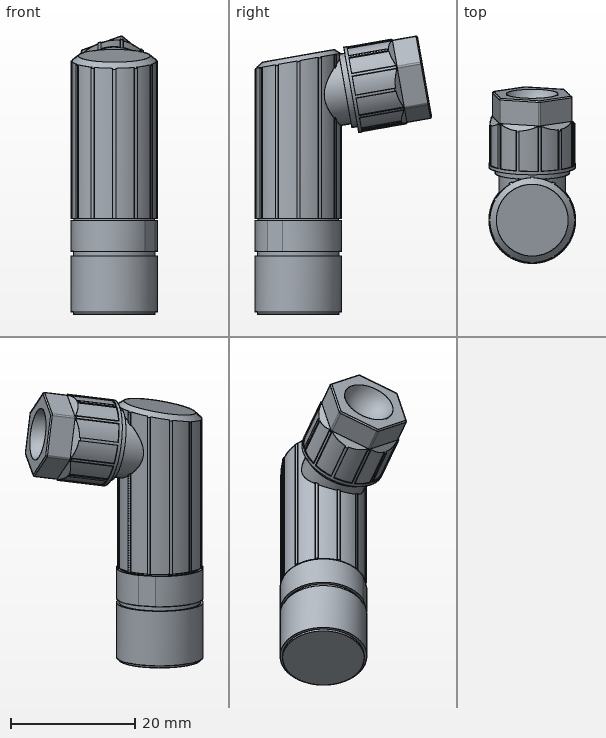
import cadquery as cq
import math

rib_radius = 7.0
grip_radius = 6.82
rib_width = 0.5
rib_count = 12
ring_radius = 7.0
foot_radius = 6.6
gap_radius = 6.5
foot_top = 0.4
collar_top = 9.45
neck_top = 10.15
ring_top = 15.18
grip_bottom = 15.45
flat_width = 2.9
flat_angle = -33.0

tilt = 10.0
top_height = 41.7
top_radius = 5.8
bevel_drop = 0.8

branch_height = 34.7
branch_radius = 5.4
washer_radius = 6.0
washer_start = 7.72
nut_start = 8.65
nut_panel_start = 9.2
hex_start = 16.6
nut_end = 20.7
nut_radius = 6.82
shoulder_taper = 45.0
hex_apothem = 5.95
hex_fillet = 0.35
hex_bevel = 0.22
nut_turn = 10.0
dish_radius = 4.18
dish_depth = 3.15


def cylinder(radius, start, end):
    return cq.Workplane("XY").workplane(offset=start).circle(radius).extrude(end - start)


def rib_set(start, end, turn):
    """Bars running along a surface all round, rounded off at the rib radius."""
    bars = (
        cq.Workplane("XY")
        .workplane(offset=start)
        .polarArray(rib_radius, turn, 360, rib_count)
        .rect(rib_radius, rib_width)
        .extrude(end - start)
    )
    return bars.intersect(cylinder(rib_radius, start, end))


def hexagon(apothem, start):
    """Outline of a hexagon with corners in line with every other rib of the nut."""
    return (
        cq.Workplane("XY")
        .workplane(offset=start)
        .transformed(rotate=(0, 0, nut_turn + 360 / rib_count))
        .polygon(6, 2 * apothem / math.cos(math.radians(30)))
    )


def tilted_ellipse(plan_radius, height):
    """Closed outline on a sloping plane whose plan is a circle about the body axis."""
    slope = math.radians(tilt)
    plane = cq.Plane((0, 0, height), (1, 0, 0), (0, -math.sin(slope), math.cos(slope)))
    return cq.Workplane(plane).ellipse(plan_radius, plan_radius / math.cos(slope)).val()


def make_grip():
    grip_end = top_height + rib_radius
    grip = cylinder(grip_radius, grip_bottom, grip_end)
    grip = grip.union(rib_set(grip_bottom, grip_end, 0))
    repeats = math.ceil(top_height / bevel_drop)
    base = tilted_ellipse(
        top_radius + repeats * (grip_radius - top_radius), top_height - repeats * bevel_drop
    )
    cone = cq.Solid.makeLoft([base, tilted_ellipse(top_radius, top_height)], True)
    return grip.intersect(cq.Workplane(cone))


def make_rings():
    rings = cylinder(foot_radius, 0, neck_top)
    rings = rings.union(cylinder(ring_radius, foot_top, collar_top))
    flat_distance = math.sqrt(ring_radius**2 - (flat_width / 2) ** 2)
    flats = (
        cq.Workplane("XY")
        .workplane(offset=neck_top)
        .rect(2 * flat_distance, 3 * ring_radius)
        .extrude(ring_top - neck_top)
        .rotate((0, 0, 0), (0, 0, 1), flat_angle)
    )
    rings = rings.union(cylinder(ring_radius, neck_top, ring_top).intersect(flats))
    return rings.union(cylinder(gap_radius, ring_top, grip_bottom))


def make_nut():
    sleeve = cylinder(nut_radius, nut_panel_start, hex_start)
    sleeve = sleeve.union(rib_set(nut_panel_start, hex_start, nut_turn))
    spread = (hex_start - nut_panel_start) * math.tan(math.radians(shoulder_taper))
    shoulder = hexagon(hex_apothem + spread, nut_panel_start).extrude(
        hex_start - nut_panel_start, taper=shoulder_taper
    )
    head = hexagon(hex_apothem, hex_start).extrude(nut_end - hex_start)
    head = head.edges("|Z").fillet(hex_fillet)
    head = head.faces(">Z").chamfer(hex_bevel)
    nut = sleeve.intersect(shoulder).union(head)
    nut = nut.union(cylinder(rib_radius, nut_start, nut_panel_start))
    nut = nut.union(cylinder(washer_radius, washer_start, nut_start))
    return nut.union(cylinder(branch_radius, 0, washer_start))


def place_on_branch(shape):
    return shape.rotate((0, 0, 0), (1, 0, 0), tilt - 90).translate((0, 0, branch_height))


def make_dish():
    """Spherical hollow whose rim lies on the end face of the nut."""
    sphere_radius = (dish_radius**2 + dish_depth**2) / (2 * dish_depth)
    centre_height = nut_end - dish_depth + sphere_radius
    return cq.Workplane("XY").sphere(sphere_radius).translate((0, 0, centre_height))


result = make_rings().union(make_grip()).union(place_on_branch(make_nut().cut(make_dish())))